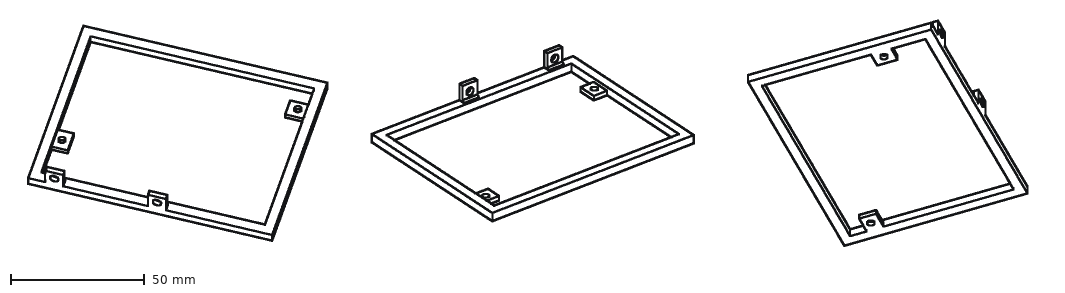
import cadquery as cq

frame_length = 95.0
frame_width = 74.0
frame_height = 3.6
bar_width = 4.0

total_height = 10.6
upright_width = 7.0
upright_thickness = 2.0
upright_centers_x = (10.2, 50.2)
upright_hole_z = 7.0
upright_hole_diameter = 3.2
foot_depth = 0.9
foot_height = 0.9

flat_thickness = 2.0
flat_hole_diameter = 2.8
left_tab_reach = 6.3
left_tab_width = 8.3
left_tab_center_y = 21.85
left_hole_x = 6.8
right_tab_reach = 7.4
right_tab_width = 6.8
right_tab_center_y = 59.9
right_hole_x = 87.5
right_hole_y = 60.2


def make_frame():
    outer = cq.Workplane("XY").box(frame_length, frame_width, frame_height, centered=False)
    opening_length = frame_length - 2 * bar_width
    opening_width = frame_width - 2 * bar_width
    opening = (
        cq.Workplane("XY")
        .box(opening_length, opening_width, frame_height, centered=False)
        .translate((bar_width, bar_width, 0))
    )
    return outer.cut(opening)


def make_upright_tab(center_x):
    """Upright tab with a sloped foot along its back and a hole through Y."""
    profile = [
        (0, 0),
        (upright_thickness + foot_depth, 0),
        (upright_thickness + foot_depth, frame_height),
        (upright_thickness, frame_height + foot_height),
        (upright_thickness, total_height),
        (0, total_height),
    ]
    tab = (
        cq.Workplane("YZ", origin=(center_x - upright_width / 2, 0, 0))
        .polyline(profile)
        .close()
        .extrude(upright_width)
    )
    hole = (
        cq.Workplane("XZ", origin=(center_x, 0, upright_hole_z))
        .circle(upright_hole_diameter / 2)
        .extrude(-upright_thickness)
    )
    return tab.cut(hole)


def make_flat_tab(start_x, reach, width, center_y, hole_x, hole_y):
    """Flat tab level with the frame's underside, with a vertical hole."""
    tab = (
        cq.Workplane("XY")
        .box(reach, width, flat_thickness, centered=(False, True, False))
        .translate((start_x, center_y, 0))
    )
    hole = (
        cq.Workplane("XY", origin=(hole_x, hole_y, 0))
        .circle(flat_hole_diameter / 2)
        .extrude(flat_thickness)
    )
    return tab.cut(hole)


result = make_frame()

for upright_center_x in upright_centers_x:
    result = result.union(make_upright_tab(upright_center_x))

left_tab = make_flat_tab(
    start_x=bar_width,
    reach=left_tab_reach,
    width=left_tab_width,
    center_y=left_tab_center_y,
    hole_x=left_hole_x,
    hole_y=left_tab_center_y,
)
right_tab = make_flat_tab(
    start_x=frame_length - bar_width - right_tab_reach,
    reach=right_tab_reach,
    width=right_tab_width,
    center_y=right_tab_center_y,
    hole_x=right_hole_x,
    hole_y=right_hole_y,
)
result = result.union(left_tab).union(right_tab)